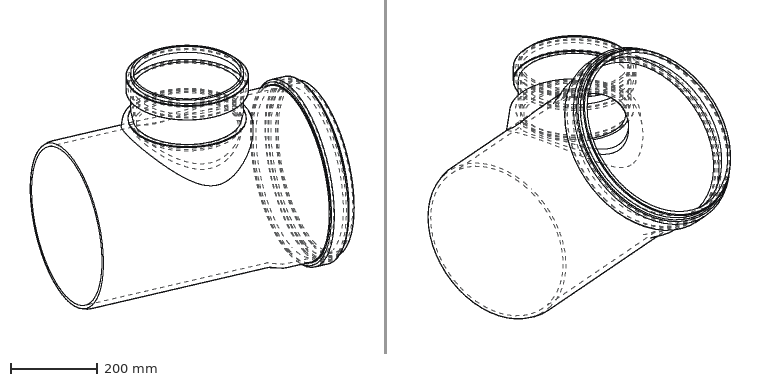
import cadquery as cq
total_length = 640.0
mouth_y = 330.0
spigot_y = mouth_y - total_length
pipe_outer_d = 400.5
pipe_bore_d = 378.0
spigot_chamfer_length = 11.0
spigot_chamfer_height = 3.0

socket_outer_d = 421.0
socket_bore_d = 402.0
socket_depth = 128.0
socket_taper_end = 168.0
collar_outer_d = 447.5
collar_start = 18.0
collar_end = 63.5
collar_wall = 6.5
collar_chamfer = 5.0
collar_front_root = 4.0
collar_back_root = 2.0
mouth_chamfer = 2.0

branch_top_z = 333.0
branch_outer_d = 262.5
branch_bore_d = 250.0
branch_neck_d = 251.0
branch_neck_bore_d = 236.0
branch_taper_start = 98.0
branch_taper_end_d = 253.5
branch_flange_d = 274.5
branch_flange_thickness = 2.5
branch_bore_depth = 91.0
branch_bore_taper_end = 117.0
branch_length = 138.0
branch_collar_d = 285.5
branch_groove_d = 274.5
branch_collar_start = 9.0
branch_collar_end = 47.5
branch_collar_wall = 6.5
branch_collar_chamfer = 1.0

saddle_top_z = 210.0
saddle_fillet = 8.0
saddle_edge_r = 150.5
saddle_foot_r = 165.0
saddle_foot_z = 102.5


def revolve_profile(points):
    """Revolve a closed (radius, height) outline about the Z axis."""
    return cq.Workplane("XZ").polyline(points).close().revolve(360, (0, 0, 0), (0, 1, 0))


def branch_cylinder(diameter, bottom_z, top_z):
    """Cylinder on the branch axis."""
    return cq.Workplane("XY").workplane(offset=bottom_z).circle(diameter / 2).extrude(top_z - bottom_z)


def lay_along_y(body):
    """Turn a body built along +Z so that it lies along +Y."""
    return body.rotate((0, 0, 0), (1, 0, 0), -90)


def make_pipe():
    """Main pipe with its collared socket and the opening for the branch."""
    outer_r = pipe_outer_d / 2
    bore_r = pipe_bore_d / 2
    socket_r = socket_outer_d / 2
    socket_bore_r = socket_bore_d / 2
    collar_r = collar_outer_d / 2
    groove_r = collar_r - collar_wall
    collar_front_y = mouth_y - collar_start
    collar_back_y = mouth_y - collar_end
    outside = [
        (outer_r - spigot_chamfer_height, spigot_y),
        (outer_r, spigot_y + spigot_chamfer_length),
        (outer_r, mouth_y - socket_taper_end),
        (socket_r, mouth_y - socket_depth),
        (socket_r, collar_back_y - collar_back_root),
        (socket_r + collar_back_root, collar_back_y),
        (collar_r - collar_chamfer, collar_back_y),
        (collar_r, collar_back_y + collar_chamfer),
        (collar_r, collar_front_y - collar_chamfer),
        (collar_r - collar_chamfer, collar_front_y),
        (socket_r + collar_front_root, collar_front_y),
        (socket_r, collar_front_y + collar_front_root),
        (socket_r, mouth_y - mouth_chamfer),
        (socket_r - mouth_chamfer, mouth_y),
    ]
    inside = [
        (socket_bore_r, mouth_y),
        (socket_bore_r, collar_front_y - collar_wall),
        (groove_r, collar_front_y - collar_wall),
        (groove_r, collar_back_y + collar_wall),
        (socket_bore_r, collar_back_y + collar_wall),
        (socket_bore_r, mouth_y - socket_depth),
        (bore_r, mouth_y - socket_taper_end),
        (bore_r, spigot_y),
    ]
    pipe = lay_along_y(revolve_profile(outside + inside))
    return pipe.cut(branch_cylinder(branch_neck_d, 0, saddle_top_z))


def make_saddle():
    """Conical foot, bored for the branch neck and shaped to sit on the pipe."""
    cone = revolve_profile([
        (0, saddle_foot_z),
        (saddle_foot_r, saddle_foot_z),
        (saddle_edge_r, saddle_top_z),
        (0, saddle_top_z),
    ])
    cone = cone.faces(">Z").edges().fillet(saddle_fillet)
    pipe_start = cq.Workplane("XZ").workplane(offset=-total_length / 2)
    pipe_envelope = pipe_start.circle(pipe_outer_d / 2).extrude(total_length)
    return cone.cut(pipe_envelope).cut(branch_cylinder(branch_neck_d, 0, saddle_top_z))


def make_branch():
    """Branch socket with a sealing groove inside its collar."""
    outer_r = branch_outer_d / 2
    bore_r = branch_bore_d / 2
    neck_r = branch_neck_d / 2
    neck_bore_r = branch_neck_bore_d / 2
    collar_r = branch_collar_d / 2
    groove_r = branch_groove_d / 2
    flange_r = branch_flange_d / 2
    taper_end_r = branch_taper_end_d / 2
    collar_top_z = branch_top_z - branch_collar_start
    collar_bottom_z = branch_top_z - branch_collar_end
    bottom_z = branch_top_z - branch_length
    outside = [
        (neck_r, bottom_z),
        (neck_r, saddle_top_z),
        (flange_r, saddle_top_z),
        (flange_r, saddle_top_z + branch_flange_thickness),
        (taper_end_r, saddle_top_z + branch_flange_thickness),
        (outer_r, branch_top_z - branch_taper_start),
        (outer_r, collar_bottom_z),
        (collar_r - branch_collar_chamfer, collar_bottom_z),
        (collar_r, collar_bottom_z + branch_collar_chamfer),
        (collar_r, collar_top_z - branch_collar_chamfer),
        (collar_r - branch_collar_chamfer, collar_top_z),
        (outer_r, collar_top_z),
        (outer_r, branch_top_z),
    ]
    inside = [
        (bore_r, branch_top_z),
        (bore_r, collar_top_z - branch_collar_wall),
        (groove_r, collar_top_z - branch_collar_wall),
        (groove_r, collar_bottom_z + branch_collar_wall),
        (bore_r, collar_bottom_z + branch_collar_wall),
        (bore_r, branch_top_z - branch_bore_depth),
        (neck_bore_r, branch_top_z - branch_bore_taper_end),
        (neck_bore_r, bottom_z),
    ]
    return revolve_profile(outside + inside)


pipe = make_pipe()
saddle = make_saddle()
branch = make_branch()

result = cq.Compound.makeCompound([pipe.val(), saddle.val(), branch.val()])